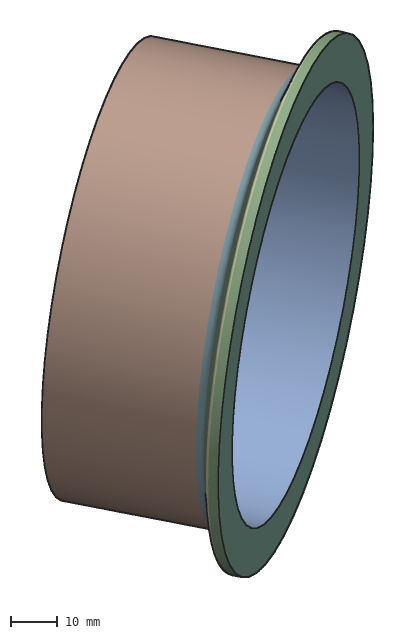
import cadquery as cq
import math

length = 42.0
bore_diameter = 97.6
tube_diameter = 101.6
flange_diameter = 119.0
rim_width = 2.7
cone_angle = 20.0
root_radius = 2.3
rim_radius = 0.7

bore_r = bore_diameter / 2
tube_r = tube_diameter / 2
flange_r = flange_diameter / 2

cone_width = (flange_r - tube_r) * math.tan(math.radians(cone_angle))
cone_root_x = -rim_width - cone_width


def ring_at(solid, x, radius):
    """Select the full-circle edge at the given X position and radius."""
    reach = 0.06
    return solid.edges(
        cq.selectors.BoxSelector(
            (x - reach, -radius - reach, -radius - reach),
            (x + reach, radius + reach, radius + reach),
            boundingbox=True,
        )
    )


ferrule = (
    cq.Workplane("XY")
    .moveTo(-length, bore_r)
    .lineTo(-length, tube_r)
    .lineTo(cone_root_x, tube_r)
    .lineTo(-rim_width, flange_r)
    .lineTo(0, flange_r)
    .lineTo(0, bore_r)
    .close()
    .revolve(360, (0, 0, 0), (1, 0, 0))
)

ferrule = ring_at(ferrule, cone_root_x, tube_r).fillet(root_radius)
ferrule = ring_at(ferrule, -rim_width, flange_r).fillet(rim_radius)

result = ferrule